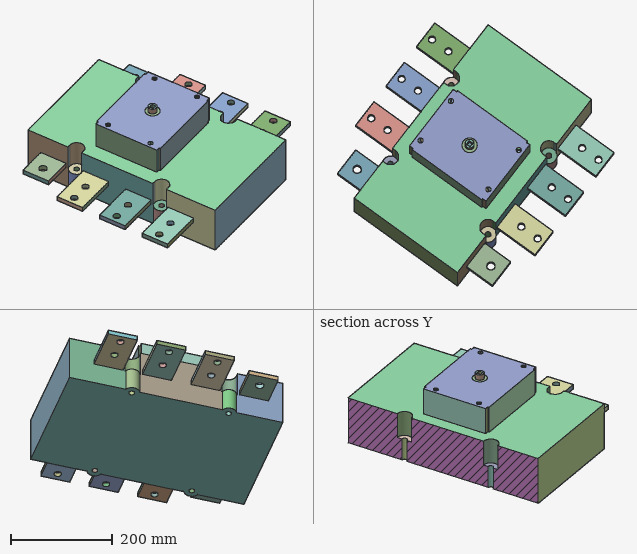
import cadquery as cq

POLE_PITCH = 100.0
POLE_COUNT = 4
HOUSING_LENGTH = 441.0
FIRST_POLE_INSET = 60.0
FIRST_POLE_X = FIRST_POLE_INSET - HOUSING_LENGTH / 2
POLE_XS = [FIRST_POLE_X + step * POLE_PITCH for step in range(POLE_COUNT)]
AXIS_X = (POLE_XS[0] + POLE_XS[-1]) / 2

HOUSING_WIDTH = 254.0
HOUSING_HEIGHT = 103.5

FOOT_DIAMETER = 32.0
FOOT_HOLE_DIAMETER = 11.0
FOOT_HEIGHT = 49.0
FOOT_Y = 120.0
FOOT_POINTS = [(AXIS_X + sx * POLE_PITCH, sy * FOOT_Y) for sx in (-1, 1) for sy in (-1, 1)]

TERMINAL_WIDTH = 60.0
TERMINAL_THICKNESS = 10.0
TERMINAL_BOTTOM = FOOT_HEIGHT
PHASE_TIP_Y = 220.5
NEUTRAL_TIP_Y = 190.5
INNER_HOLE_Y = 164.5
OUTER_HOLE_Y = 204.5
PHASE_HOLE_DIAMETER = 14.0
NEUTRAL_HOLE_DIAMETER = 16.5

BOX_LENGTH = 150.0
BOX_WIDTH = 188.5
BOX_TOP = 161.0
BOX_HEIGHT = BOX_TOP - HOUSING_HEIGHT
CORNER_NOTCH_X = 3.0
CORNER_NOTCH_Y = 8.5

SCREW_DIAMETER = 10.0
SCREW_Y = 83.5
SCREW_HEAD_HEIGHT = 0.5
SCREW_SLOT_WIDTH = 2.0
SCREW_SLOT_ANGLE = 45.0
SCREWS = [
    (-1, -1, SCREW_SLOT_ANGLE),
    (-1, 1, SCREW_SLOT_ANGLE),
    (1, 1, SCREW_SLOT_ANGLE),
    (1, -1, -SCREW_SLOT_ANGLE),
]

SHAFT_DIAMETER = 18.0
SHAFT_TOP = 173.0
COLLAR_DIAMETER = 30.0
COLLAR_DEPTH = 10.0
SOCKET_SIZE = 9.0
SOCKET_DEPTH = 12.0


def make_terminal_pair(x, tip_y, hole_ys, hole_diameter):
    """Flat bar through the housing, giving one drilled terminal on each long side."""
    hole_points = [(x, side * y) for side in (-1, 1) for y in hole_ys]
    bar = (
        cq.Workplane("XY", origin=(0, 0, TERMINAL_BOTTOM))
        .center(x, 0)
        .rect(TERMINAL_WIDTH, 2 * tip_y)
        .extrude(TERMINAL_THICKNESS)
    )
    holes = (
        cq.Workplane("XY", origin=(0, 0, TERMINAL_BOTTOM))
        .pushPoints(hole_points)
        .circle(hole_diameter / 2)
        .extrude(TERMINAL_THICKNESS)
    )
    return bar.cut(holes)


def make_foot_pocket(x, y):
    """Round-ended pocket above a foot, open to the nearest long side of the housing."""
    pocket_height = HOUSING_HEIGHT - FOOT_HEIGHT
    plane = cq.Workplane("XY", origin=(x, y, FOOT_HEIGHT))
    round_end = plane.circle(FOOT_DIAMETER / 2).extrude(pocket_height)
    outward = FOOT_DIAMETER / 2 if y > 0 else -FOOT_DIAMETER / 2
    mouth = plane.center(0, outward / 2).rect(FOOT_DIAMETER, abs(outward)).extrude(pocket_height)
    return round_end.union(mouth)


def make_housing():
    """Main block with four mounting feet and the four rows of terminals."""
    housing = cq.Workplane("XY").rect(HOUSING_LENGTH, HOUSING_WIDTH).extrude(HOUSING_HEIGHT)
    foot_layout = cq.Workplane("XY").pushPoints(FOOT_POINTS)
    feet = foot_layout.circle(FOOT_DIAMETER / 2).extrude(FOOT_HEIGHT)
    foot_holes = foot_layout.circle(FOOT_HOLE_DIAMETER / 2).extrude(FOOT_HEIGHT)
    housing = housing.union(feet).cut(foot_holes)
    for x, y in FOOT_POINTS:
        housing = housing.cut(make_foot_pocket(x, y))

    neutral_x, *phase_xs = POLE_XS
    housing = housing.union(
        make_terminal_pair(neutral_x, NEUTRAL_TIP_Y, [INNER_HOLE_Y], NEUTRAL_HOLE_DIAMETER)
    )
    for x in phase_xs:
        housing = housing.union(
            make_terminal_pair(x, PHASE_TIP_Y, [INNER_HOLE_Y, OUTER_HOLE_Y], PHASE_HOLE_DIAMETER)
        )
    return housing


def make_screw_head(x, y, slot_angle):
    """Thin round screw head on the box top, split by a diagonal driver slot."""
    head_plane = cq.Workplane("XY", origin=(x, y, BOX_TOP))
    head = head_plane.circle(SCREW_DIAMETER / 2).extrude(SCREW_HEAD_HEIGHT)
    slot = (
        head_plane.transformed(rotate=(0, 0, slot_angle))
        .rect(2 * SCREW_DIAMETER, SCREW_SLOT_WIDTH)
        .extrude(SCREW_HEAD_HEIGHT)
    )
    return head.cut(slot)


def make_drive_box():
    """Notched box on top of the housing, with four screw heads and a seat for the shaft collar."""
    box = cq.Workplane("XY", origin=(AXIS_X, 0, HOUSING_HEIGHT))
    long_block = box.rect(BOX_LENGTH - 2 * CORNER_NOTCH_X, BOX_WIDTH).extrude(BOX_HEIGHT)
    wide_block = box.rect(BOX_LENGTH, BOX_WIDTH - 2 * CORNER_NOTCH_Y).extrude(BOX_HEIGHT)
    drive_box = long_block.union(wide_block)

    for side_x, side_y, slot_angle in SCREWS:
        screw_x = AXIS_X + side_x * POLE_PITCH / 2
        drive_box = drive_box.union(make_screw_head(screw_x, side_y * SCREW_Y, slot_angle))

    collar_seat = (
        cq.Workplane("XY", origin=(AXIS_X, 0, BOX_TOP - COLLAR_DEPTH))
        .circle(COLLAR_DIAMETER / 2)
        .extrude(COLLAR_DEPTH)
    )
    return drive_box.cut(collar_seat)


def make_shaft():
    """Drive shaft with a collar flush with the box top and a square socket in its end."""
    shaft_bottom = BOX_TOP - COLLAR_DEPTH
    base = cq.Workplane("XY", origin=(AXIS_X, 0, shaft_bottom))
    collar = base.circle(COLLAR_DIAMETER / 2).extrude(COLLAR_DEPTH)
    stem = base.circle(SHAFT_DIAMETER / 2).extrude(SHAFT_TOP - shaft_bottom)
    socket = (
        cq.Workplane("XY", origin=(AXIS_X, 0, SHAFT_TOP - SOCKET_DEPTH))
        .rect(SOCKET_SIZE, SOCKET_SIZE)
        .extrude(SOCKET_DEPTH)
    )
    return collar.union(stem).cut(socket)


housing = make_housing()
drive_box = make_drive_box()
shaft = make_shaft()

result = cq.Compound.makeCompound([housing.val(), drive_box.val(), shaft.val()])